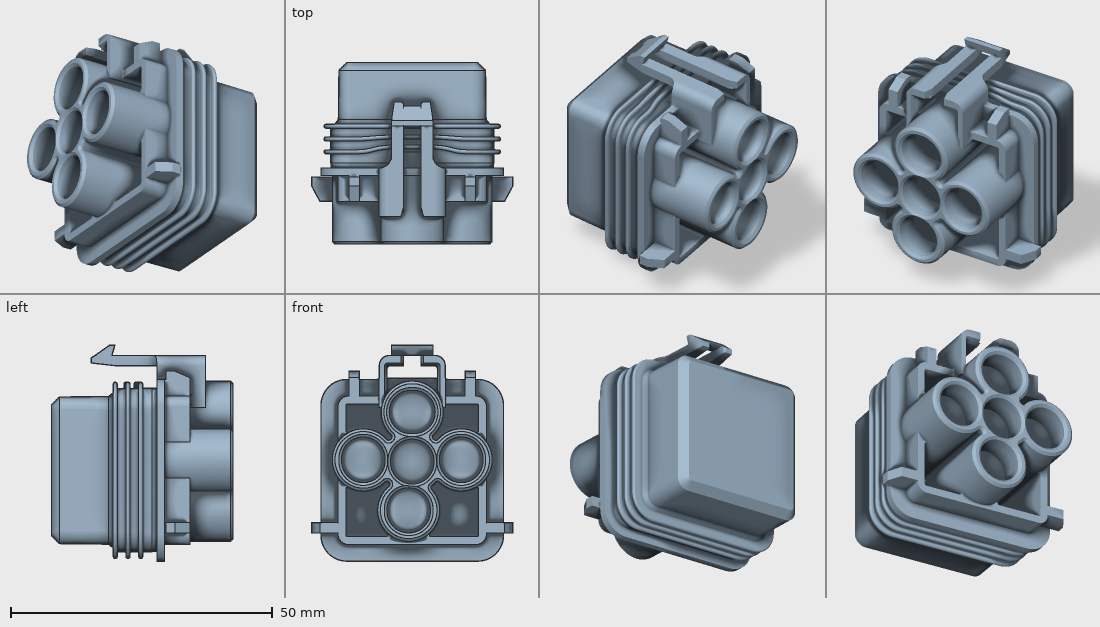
import cadquery as cq
import math


flange_width = 34.95
flange_height = 34.8
flange_corner = 5.0
flange_back = 1.5
neck_size = 31.1
neck_corner = 3.3
neck_back = 2.45
body_size = 31.2
body_corner = 3.8
plug_size = 28.3
plug_corner = 2.45
plug_start = 10.7
plug_end = 21.65
plug_draft = 0.7
plug_chamfer = 1.54
shoulder_size = 29.65

rib_half_width = 0.39
rib_height = 1.25
rib_root_fillet = 0.25
rib_root_sink = 0.3
rib_pitch = 2.44
rib_first = 4.56
front_wave = dict(swerve=0.9, outer=10.35, inflection=7.6, inner=4.0)
middle_wave = dict(swerve=0.38, outer=11.2, inflection=7.0, inner=4.4)
body_end = rib_first + 2 * rib_pitch + rib_half_width

rim_size = 28.4
rim_corner = 2.0
rim_front = -4.9
rim_wall = 1.5
cavity_floor = 10.0
cavity_fillet = 0.42

socket_front = -13.1
bore_depth = 5.7
socket_radius = 5.93
bore_radius = 4.15
socket_chamfer = 0.52
mouth_taper = 45
valley_fillet = 0.5
top_socket = (0, 11.14, 0.5, 0)
sockets = [
    (0, 1.66, 0.3, 90),
    top_socket,
    (-9.36, 2.0, 0.44, 90),
    (9.36, 2.0, 0.44, 90),
    (-0.68, -7.65, 0.34, 90),
]

tab_width = 2.0
tab_back = -0.25
tab_flat_end = -2.0
top_tab_x = 11.1
top_tab_reach = 18.95
top_tab_slope = 1.25
side_tab_z = -11.0
side_tab_reach = 19.225
side_tab_slope = 1.55
tab_root = rim_size / 2 - rim_wall / 2

latch_top = 21.98
latch_half_width = 6.32
latch_corner = 2.0
latch_front = -7.85
latch_leg = 1.52
latch_roof = 2.0
latch_inner_half = latch_half_width - latch_leg
roof_underside = latch_top - latch_roof
latch_inner_corner = 0.6
leg_bottom = 12.0
leg_root_fillet = 0.42
flare_length = 1.8
flare = 0.5
slot_half_width = 1.67
arm_half_width = 4.0
arm_fillet = 2.3
sill_top = 17.6
seat_top = 15.75
seat_back = 4.5
hook_top = 23.91
hook_edge = 9.5
hook_root = 10.05
hook_crest = 10.55
hook_narrowing = 10.35
hook_tip = 14.05
hook_tip_top = 21.45
hook_tip_bottom = 20.5
hook_tip_half_width = 3.45
hook_tip_fillet = 0.45


def plane_at(y):
    """XZ sketch plane at depth y whose normal points to +Y (local x is -X)."""
    return cq.Workplane(cq.Plane(origin=(0, y, 0), xDir=(-1, 0, 0), normal=(0, 1, 0)))


def rounded_block(width, height, corner, start, end):
    block = plane_at(start).rect(width, height).extrude(end - start)
    return block.edges("|Y").fillet(corner)


def tapered_square(size, corner, start, length, taper):
    outline = plane_at(start).sketch().rect(size, size).vertices().fillet(corner).finalize()
    return outline.extrude(length, taper=taper)


def box(x_range, y_range, z_range):
    size = [high - low for low, high in (x_range, y_range, z_range)]
    corner = (x_range[0], y_range[0], z_range[0])
    return cq.Workplane("XY").box(*size, centered=False).translate(corner)


def side_profile(points, x_low, x_high):
    """Extrude a (y, z) outline along X."""
    return cq.Workplane("YZ").polyline(points).close().extrude(x_high - x_low).translate((x_low, 0, 0))


def make_plug():
    """Drafted plug with a chamfered end and a sloping shoulder down from the seal body."""
    plug = tapered_square(plug_size, plug_corner, plug_start, plug_end - plug_start, plug_draft)
    plug = plug.faces(">Y").chamfer(plug_chamfer)
    shoulder_length = plug_start - body_end
    shoulder_step = (shoulder_size - plug_size) / 2
    shoulder_taper = math.degrees(math.atan2(shoulder_step, shoulder_length))
    shoulder_corner = plug_corner + shoulder_step
    shoulder = tapered_square(shoulder_size, shoulder_corner, body_end, shoulder_length, shoulder_taper)
    return plug.union(shoulder)


def rib_path(y, swerve, outer, inflection, inner):
    """Closed path on the body surface; the top run swerves by `swerve` towards +Y."""
    half = body_size / 2
    straight = half - body_corner
    diagonal = straight + body_corner * math.sqrt(0.5)

    def at(x, z, shift=0.0):
        return cq.Vector(x, y + shift, z)

    def corner(sx, sz, start, end):
        return cq.Edge.makeThreePointArc(start, at(sx * diagonal, sz * diagonal), end)

    edges = [
        cq.Edge.makeLine(at(0, -half), at(straight, -half)),
        corner(1, -1, at(straight, -half), at(half, -straight)),
        cq.Edge.makeLine(at(half, -straight), at(half, straight)),
        corner(1, 1, at(half, straight), at(straight, half)),
    ]
    if swerve:
        along_x = cq.Vector(-1, 0, 0)
        slope = 2 * swerve / (outer - inner)
        mid_shift = slope * (outer - inflection) / 2
        rising = cq.Vector(-1, slope, 0)
        falling = cq.Vector(-1, -slope, 0)
        edges += [
            cq.Edge.makeLine(at(straight, half), at(outer, half)),
            cq.Edge.makeSpline([at(outer, half), at(inflection, half, mid_shift)], [along_x, rising]),
            cq.Edge.makeSpline([at(inflection, half, mid_shift), at(inner, half, swerve)], [rising, along_x]),
            cq.Edge.makeLine(at(inner, half, swerve), at(-inner, half, swerve)),
            cq.Edge.makeSpline([at(-inner, half, swerve), at(-inflection, half, mid_shift)], [along_x, falling]),
            cq.Edge.makeSpline([at(-inflection, half, mid_shift), at(-outer, half)], [falling, along_x]),
            cq.Edge.makeLine(at(-outer, half), at(-straight, half)),
        ]
    else:
        edges.append(cq.Edge.makeLine(at(straight, half), at(-straight, half)))
    edges += [
        corner(-1, 1, at(-straight, half), at(-half, straight)),
        cq.Edge.makeLine(at(-half, straight), at(-half, -straight)),
        corner(-1, -1, at(-half, -straight), at(-straight, -half)),
        cq.Edge.makeLine(at(-straight, -half), at(0, -half)),
    ]
    return cq.Wire.assembleEdges(edges)


def make_rib(y, swerve=0.0, outer=0.0, inflection=0.0, inner=0.0, rear_root=True):
    """Rounded rib with filleted roots, swept round the body."""
    w = rib_half_width
    foot = w + rib_root_fillet
    bend = rib_root_fillet * (1 - math.sqrt(0.5))
    section_plane = cq.Plane(origin=(0, y, -body_size / 2), xDir=(0, 1, 0), normal=(1, 0, 0))
    section = (
        cq.Workplane(section_plane)
        .moveTo(-foot, rib_root_sink)
        .lineTo(-foot, 0)
        .threePointArc((-w - bend, -bend), (-w, -rib_root_fillet))
        .lineTo(-w, w - rib_height)
        .threePointArc((0, -rib_height), (w, w - rib_height))
        .lineTo(w, -rib_root_fillet)
    )
    if rear_root:
        section = section.threePointArc((w + bend, -bend), (foot, 0)).lineTo(foot, rib_root_sink)
    else:
        section = section.lineTo(w, rib_root_sink)
    section = section.close()
    return section.sweep(cq.Workplane(rib_path(y, swerve, outer, inflection, inner)))


def make_cluster(start, end):
    """Five merged socket tubes between two depths."""
    cluster = None
    for x, z, _, _ in sockets:
        tube = plane_at(start).center(-x, z).circle(socket_radius).extrude(end - start)
        cluster = tube if cluster is None else cluster.union(tube)
    return cluster.edges("|Y").fillet(valley_fillet)


def make_bores():
    """Blind, slightly stretched socket bores with chamfered mouths."""
    bores = None
    bore_diameter = 2 * bore_radius
    mouth_diameter = bore_diameter + 2 * socket_chamfer
    for x, z, stretch, angle in sockets:
        place = plane_at(socket_front).center(-x, z)
        mouth = place.slot2D(mouth_diameter + stretch, mouth_diameter, angle)
        mouth = mouth.extrude(socket_chamfer, taper=mouth_taper)
        bore = place.slot2D(bore_diameter + stretch, bore_diameter, angle).extrude(bore_depth)
        bore = bore.union(mouth)
        bores = bore if bores is None else bores.union(bore)
    return bores


def make_cavity():
    """Space between the rim and the sockets, rounded in its corners and along its floor."""
    opening = rim_size - 2 * rim_wall
    cavity = plane_at(rim_front).rect(opening, opening).extrude(cavity_floor - rim_front)
    cavity = cavity.cut(make_cluster(rim_front, cavity_floor))

    def on_rim(edge):
        center = edge.Center()
        return max(abs(center.x), abs(center.z)) > opening / 2 - cavity_fillet

    cavity = cavity.edges("|Y").filter(on_rim).fillet(cavity_fillet)
    return cavity.faces(">Y").edges().fillet(cavity_fillet)


def make_tabs():
    """Two snap tabs on top of the rim and one on each side."""

    def outline(reach, slope, foot_reach):
        return [
            (0, tab_root),
            (0, foot_reach),
            (tab_back, foot_reach),
            (tab_back, reach),
            (tab_flat_end, reach),
            (rim_front, reach - slope),
            (rim_front, tab_root),
        ]

    half = tab_width / 2
    top = side_profile(outline(top_tab_reach, top_tab_slope, flange_height / 2), -half, half)
    side = side_profile(outline(side_tab_reach, side_tab_slope, rim_size / 2), -half, half)
    tabs = top.translate((top_tab_x, 0, 0)).union(top.translate((-top_tab_x, 0, 0)))
    for angle in (90, -90):
        turned = side.rotate((0, 0, 0), (0, 1, 0), angle)
        tabs = tabs.union(turned.translate((0, 0, side_tab_z)))
    return tabs


def bracket_outline(y_low, y_high):
    block = box((-latch_half_width, latch_half_width), (y_low, y_high), (leg_bottom, latch_top))
    return block.edges("|Y and >Z").fillet(latch_corner)


def make_hooked_arm():
    """Arm running back from the bracket roof to a hook that narrows to its tip."""
    outline = [
        (flange_back, roof_underside),
        (flange_back, latch_top),
        (hook_root, latch_top),
        (hook_edge, hook_top),
        (hook_crest, hook_top),
        (hook_tip, hook_tip_top),
        (hook_tip, hook_tip_bottom),
        (hook_edge, roof_underside),
    ]
    arm = side_profile(outline, -arm_half_width, arm_half_width)
    plan_points = [
        (arm_half_width, flange_back),
        (arm_half_width, hook_narrowing),
        (hook_tip_half_width, hook_tip),
        (-hook_tip_half_width, hook_tip),
        (-arm_half_width, hook_narrowing),
        (-arm_half_width, flange_back),
    ]
    return arm.intersect(cq.Workplane("XY").polyline(plan_points).close().extrude(hook_top))


def make_arm_root():
    """Concave flanks that widen the arm where it meets the bracket."""
    wide = arm_half_width + arm_fillet
    root_end = flange_back + arm_fillet
    root = box((-wide, wide), (flange_back, root_end), (roof_underside, latch_top))
    for side in (-1, 1):
        hollow = cq.Workplane("XY").center(side * wide, root_end).circle(arm_fillet).extrude(hook_top)
        root = root.cut(hollow)
    return root.intersect(bracket_outline(flange_back, root_end))


def tip_corner_selector():
    """Picks the upright edges where the slot leaves the hook tip."""
    margin = 0.1
    x = slot_half_width + margin
    low = (-x, hook_tip - margin, leg_bottom)
    high = (x, hook_tip + margin, hook_top)
    return cq.selectors.BoxSelector(low, high)


def make_latch():
    """Bracket, arm and hook, with the tunnel and the slot cut through them."""
    latch = bracket_outline(latch_front, flange_back)
    latch = latch.union(make_arm_root()).union(make_hooked_arm())

    tunnel = box(
        (-latch_inner_half, latch_inner_half),
        (latch_front, flange_back),
        (leg_bottom, roof_underside),
    )
    tunnel = tunnel.edges("|Y and >Z").fillet(latch_inner_corner)
    slot = box((-slot_half_width, slot_half_width), (latch_front, hook_tip), (leg_bottom, latch_top))
    latch = latch.cut(tunnel).cut(slot)
    return latch.edges(tip_corner_selector()).fillet(hook_tip_fillet)


def make_top_tube():
    x, z, _, _ = top_socket
    tube = plane_at(socket_front + socket_chamfer).center(-x, z).circle(socket_radius)
    return tube.extrude(-socket_front)


def make_latch_mouth():
    """Flared front opening of the tunnel and the slot, clear of the top socket."""
    mouth_half = latch_inner_half + flare
    mouth_top = roof_underside + flare
    mouth_height = mouth_top - leg_bottom
    flare_angle = math.degrees(math.atan2(flare, flare_length))
    mouth = plane_at(latch_front).center(0, mouth_top - mouth_height / 2)
    mouth = mouth.rect(2 * mouth_half, mouth_height).extrude(flare_length, taper=flare_angle)
    mouth = mouth.edges("not(|X or |Z)").edges(">Z").fillet(latch_inner_corner)
    slot_mouth = plane_at(latch_front).center(0, latch_top)
    slot_mouth = slot_mouth.rect(2 * (slot_half_width + flare), 2 * latch_roof)
    slot_mouth = slot_mouth.extrude(flare_length, taper=flare_angle)
    return mouth.union(slot_mouth).cut(make_top_tube())


def leg_face_selector(x, y_low, y_high, z_low, z_high):
    """Picks edges whose centre lies on a leg face, given its x."""
    margin = 0.05
    return cq.selectors.BoxSelector((x - margin, y_low, z_low), (x + margin, y_high, z_high))


def make_front():
    """Flange, rim and latch, with fillets where the legs meet the flange, the rim and the top socket."""
    front = rounded_block(flange_width, flange_height, flange_corner, 0, flange_back)
    front = front.union(rounded_block(rim_size, rim_size, rim_corner, rim_front, 0))
    front = front.cut(make_cavity())
    front = front.union(make_latch())
    sill = box((-latch_inner_half, latch_inner_half), (0, flange_back), (rim_size / 2, sill_top))
    front = front.union(sill).union(make_top_tube())
    rim_inside = rim_size / 2 - rim_wall
    margin = 0.1
    for side in (-1, 1):
        outer_x = side * latch_half_width
        outside = leg_face_selector(outer_x, rim_front - margin, flange_back - margin, rim_inside, sill_top)
        front = front.edges(outside).fillet(leg_root_fillet)
        inner_x = side * latch_inner_half
        inside = leg_face_selector(inner_x, latch_front, margin, rim_size / 2, sill_top)
        front = front.edges(inside).fillet(leg_root_fillet)
    return front.cut(make_latch_mouth())


def make_rear():
    """Neck, seal body with its ribs, the seat under the latch arm, and the plug."""
    rear = rounded_block(neck_size, neck_size, neck_corner, 0, neck_back)
    rear = rear.union(rounded_block(body_size, body_size, body_corner, neck_back, body_end))
    rear = rear.union(box((-arm_half_width, arm_half_width), (flange_back, seat_back), (0, seat_top)))
    rear = rear.union(make_plug())
    rear = rear.union(make_rib(rib_first, **front_wave))
    rear = rear.union(make_rib(rib_first + rib_pitch, **middle_wave))
    rear = rear.union(make_rib(rib_first + 2 * rib_pitch, rear_root=False))
    return rear.cut(make_cavity())


def make_housing():
    housing = make_rear().union(make_front()).union(make_tabs())
    tubes = make_cluster(socket_front, 0).faces("<Y").chamfer(socket_chamfer)
    return housing.union(tubes).cut(make_bores())


result = make_housing()